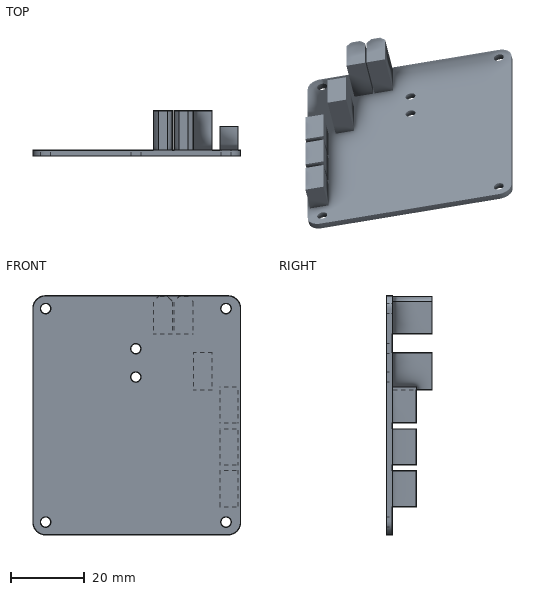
import cadquery as cq

plate_width = 56.5
plate_height = 65.0
plate_thickness = 1.6
corner_radius = 3.5

corner_hole_diameter = 2.75
corner_hole_spacing_x = 49.0
corner_hole_spacing_z = plate_height - 2 * corner_radius
hole_centre_x = corner_radius + (corner_hole_spacing_x - plate_width) / 2

middle_hole_diameter = 2.7
middle_hole_upper_z = 18.1
middle_hole_pitch = 7.7
middle_hole_count = 2

overall_depth = 12.37
tall_depth = overall_depth - plate_thickness
tall_width = 5.15
tall_height = 10.15
tall_chamfer = 1.35
tall_top_z = 32.3
keyed_left_x = 4.55
keyed_gap = 0.45
keyed_count = 2
plain_right_x = 20.5
plain_top_z = 17.05

low_width = 5.0
low_height = 9.8
low_depth = 6.5
low_left_x = 22.55
low_bottom_z = -24.85
low_pitch = 11.4
low_count = 3


def rear_block(left, bottom, width, height, depth):
    """Box standing on the rear face of the plate."""
    return cq.Workplane("XY").box(width, depth, height, centered=False).translate(
        (left, plate_thickness, bottom)
    )


def make_plate():
    """Rounded plate without holes."""
    plate = cq.Workplane("XY").box(plate_width, plate_thickness, plate_height, centered=(True, False, True))
    return plate.edges("|Y").fillet(corner_radius)


def drill_holes(body):
    """Cut the four corner holes and the middle pair through the plate."""
    front = cq.Workplane("XZ")
    corner_holes = (
        front.center(hole_centre_x, 0)
        .rect(corner_hole_spacing_x, corner_hole_spacing_z, forConstruction=True)
        .vertices()
        .circle(corner_hole_diameter / 2)
        .extrude(-plate_thickness)
    )
    middle_centres = [
        (hole_centre_x, middle_hole_upper_z - i * middle_hole_pitch) for i in range(middle_hole_count)
    ]
    middle_holes = front.pushPoints(middle_centres).circle(middle_hole_diameter / 2).extrude(-plate_thickness)
    return body.cut(corner_holes).cut(middle_holes)


def keyed_connector(left):
    """Tall connector with both upper long edges chamfered."""
    block = rear_block(left, tall_top_z - tall_height, tall_width, tall_height, tall_depth)
    return block.faces(">Z").edges("|Y").chamfer(tall_chamfer)


result = drill_holes(make_plate())

for i in range(keyed_count):
    result = result.union(keyed_connector(keyed_left_x + i * (tall_width + keyed_gap)))

result = result.union(
    rear_block(plain_right_x - tall_width, plain_top_z - tall_height, tall_width, tall_height, tall_depth)
)

for i in range(low_count):
    result = result.union(
        rear_block(low_left_x, low_bottom_z + i * low_pitch, low_width, low_height, low_depth)
    )